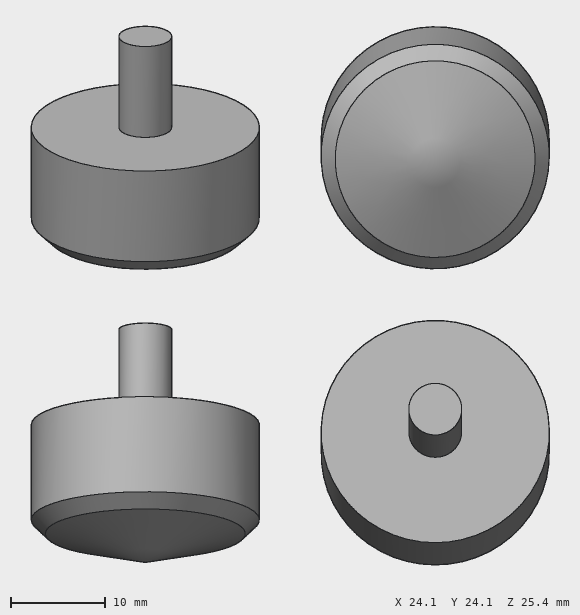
import cadquery as cq

total_height = 25.42
body_diameter = 24.13
pin_diameter = 5.6
pin_length = 10.4
chamfer_size = 1.5
cone_height = 3.15

body_radius = body_diameter / 2
pin_radius = pin_diameter / 2
cone_radius = body_radius - chamfer_size
chamfer_top = cone_height + chamfer_size
body_top = total_height - pin_length


def turned_profile():
    """Half section in the XZ plane, from the cone tip up to the pin end."""
    return (
        cq.Workplane("XZ")
        .moveTo(0, 0)
        .lineTo(cone_radius, cone_height)
        .lineTo(body_radius, chamfer_top)
        .lineTo(body_radius, body_top)
        .lineTo(pin_radius, body_top)
        .lineTo(pin_radius, total_height)
        .lineTo(0, total_height)
        .close()
    )


result = turned_profile().revolve(360, (0, 0, 0), (0, 1, 0))